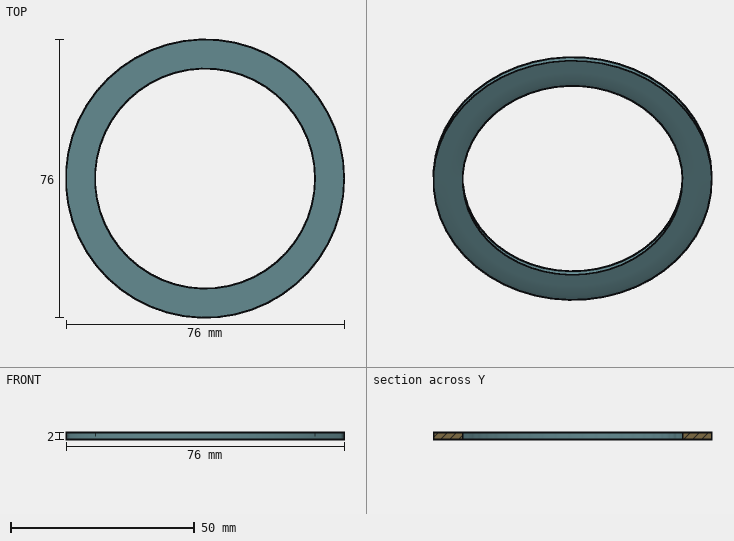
import cadquery as cq

outer_diameter = 76.0
inner_diameter = 60.0
thickness = 2.0

result = (
    cq.Workplane("XY")
    .circle(outer_diameter / 2)
    .circle(inner_diameter / 2)
    .extrude(thickness)
)